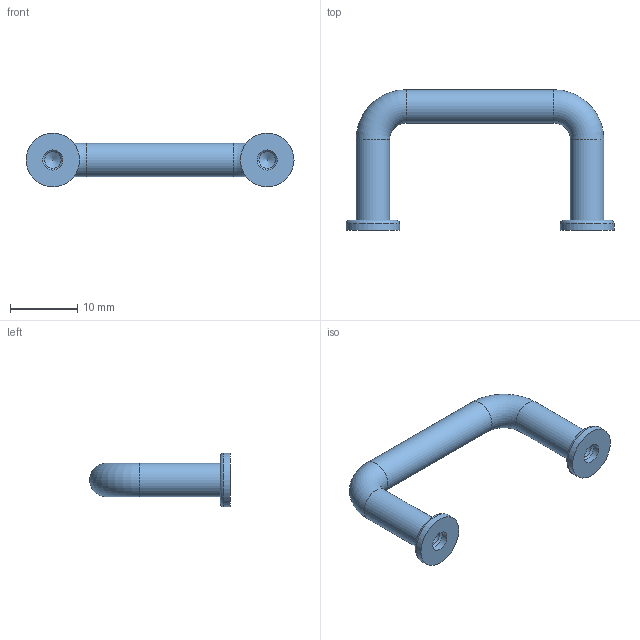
import cadquery as cq
import math

leg_spacing = 32.0
overall_height = 21.0
bar_diameter = 5.0
bend_radius = 5.0

flange_diameter = 8.0
flange_thickness = 1.5
flange_rounding = 0.5

clearance_diameter = 3.0
clearance_depth = 1.0
core_diameter = 2.46
lead_in_angle = 45.0
core_depth = 8.0
drill_point_angle = 118.0

leg_x = leg_spacing / 2
grip_axis_y = overall_height - bar_diameter / 2
bend_start_y = grip_axis_y - bend_radius
bend_end_x = leg_x - bend_radius


def make_bow():
    """Sweep the round bar up one leg, across the grip and down the other leg."""
    axis = (
        cq.Workplane("XY")
        .moveTo(-leg_x, 0)
        .lineTo(-leg_x, bend_start_y)
        .radiusArc((-bend_end_x, grip_axis_y), bend_radius)
        .lineTo(bend_end_x, grip_axis_y)
        .radiusArc((leg_x, bend_start_y), bend_radius)
        .lineTo(leg_x, 0)
    )
    section = cq.Workplane("XZ", origin=(-leg_x, 0, 0)).circle(bar_diameter / 2)
    return section.sweep(axis)


def make_flange(x):
    """Disc around the foot of a leg, rounded on the edge facing the grip."""
    disc = cq.Workplane("XZ", origin=(x, 0, 0)).circle(flange_diameter / 2).extrude(-flange_thickness)
    return disc.faces(">Y").edges().fillet(flange_rounding)


def make_screw_hole(x):
    """Revolved cutter: clearance bore, conical lead-in, core bore and drill point."""
    clearance_radius = clearance_diameter / 2
    core_radius = core_diameter / 2
    lead_in_depth = (clearance_radius - core_radius) / math.tan(math.radians(lead_in_angle))
    point_depth = core_radius / math.tan(math.radians(drill_point_angle / 2))
    return (
        cq.Workplane("XY", origin=(x, 0, 0))
        .lineTo(clearance_radius, 0)
        .lineTo(clearance_radius, clearance_depth)
        .lineTo(core_radius, clearance_depth + lead_in_depth)
        .lineTo(core_radius, core_depth)
        .lineTo(0, core_depth + point_depth)
        .close()
        .revolve(360, (0, 0, 0), (0, 1, 0))
    )


result = make_bow()
for foot_x in (-leg_x, leg_x):
    result = result.union(make_flange(foot_x)).cut(make_screw_hole(foot_x))